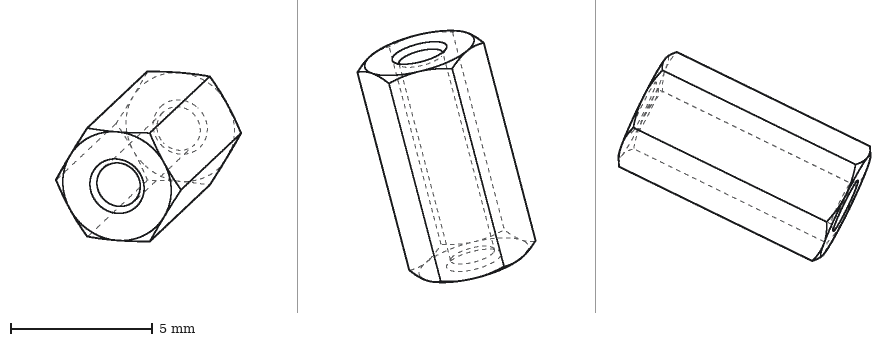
import cadquery as cq
import math

length = 8.0
across_flats = 4.0
bore_diameter = 1.6
countersink_diameter = 2.0
countersink_angle = 45.0
corner_chamfer_angle = 30.0

across_corners = across_flats / math.cos(math.radians(30))
half_length = length / 2
face_radius = across_flats / 2
corner_radius = across_corners / 2
bore_radius = bore_diameter / 2
countersink_radius = countersink_diameter / 2
chamfer_slope = math.tan(math.radians(corner_chamfer_angle))
countersink_depth = (countersink_radius - bore_radius) * math.tan(math.radians(countersink_angle))


def revolve_about_y(points):
    """Revolve a closed (radius, y) outline around the Y axis."""
    return cq.Workplane("XY").polyline(points).close().revolve(360, (0, 0, 0), (0, 1, 0))


hex_bar = cq.Workplane("XZ").polygon(6, across_corners).extrude(half_length, both=True)

envelope_radius = corner_radius * 1.1
envelope_shoulder = half_length - (envelope_radius - face_radius) * chamfer_slope
chamfer_envelope = revolve_about_y([
    (0, -half_length),
    (face_radius, -half_length),
    (envelope_radius, -envelope_shoulder),
    (envelope_radius, envelope_shoulder),
    (face_radius, half_length),
    (0, half_length),
])

bore_shoulder = half_length - countersink_depth
countersunk_bore = revolve_about_y([
    (0, -half_length),
    (countersink_radius, -half_length),
    (bore_radius, -bore_shoulder),
    (bore_radius, bore_shoulder),
    (countersink_radius, half_length),
    (0, half_length),
])

result = hex_bar.intersect(chamfer_envelope).cut(countersunk_bore)